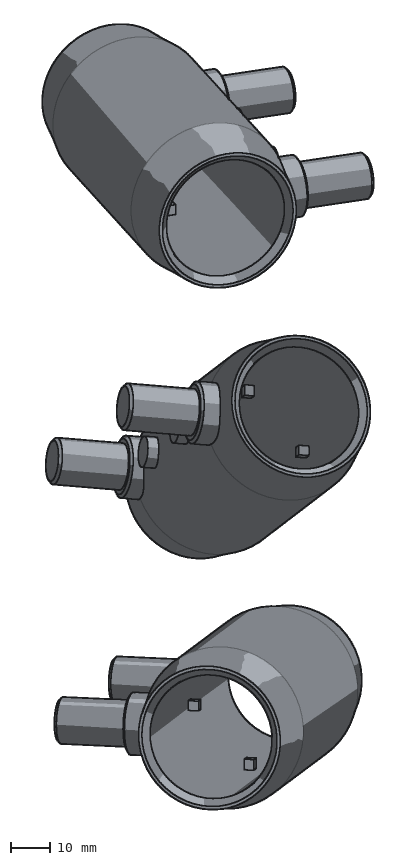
import cadquery as cq

length = 86.5
body_radius = 42.0 / 2
end_radius = 37.2 / 2
bore_radius = 32.0 / 2
taper_length = length / 6
taper_hollow = 0.1
mouth_radius = 35.5 / 2
mouth_depth = mouth_radius - bore_radius

pin_radius = 12.0 / 2
pin_tip_y = 43.0
pin_chamfer = 0.8
collar_radius = 16.0 / 2
collar_top_y = 24.5
collar_chamfer_width = 0.9
collar_chamfer_height = 0.6
pin_x = length / 2 - taper_length

boss_radius = 8.0 / 2
boss_top_y = collar_top_y - collar_chamfer_height
boss_x = 12.8

stop_width = 2.5
stop_inner_radius = 13.2

wall_middle = (bore_radius + end_radius) / 2


def make_sleeve():
    half = length / 2
    taper_mid_x = half - taper_length / 2
    taper_mid_radius = (body_radius + end_radius) / 2 - taper_hollow
    profile = (
        cq.Workplane("XY")
        .moveTo(-half, mouth_radius)
        .lineTo(-half, end_radius)
        .threePointArc((-taper_mid_x, taper_mid_radius), (-half + taper_length, body_radius))
        .lineTo(half - taper_length, body_radius)
        .threePointArc((taper_mid_x, taper_mid_radius), (half, end_radius))
        .lineTo(half, mouth_radius)
        .lineTo(half - mouth_depth, bore_radius)
        .lineTo(-half + mouth_depth, bore_radius)
        .close()
    )
    return profile.revolve(360, (0, 0, 0), (1, 0, 0))


def make_post(x, radius, top_y):
    """Cylinder along +Y from inside the sleeve wall up to top_y."""
    post = cq.Solid.makeCylinder(
        radius, top_y - wall_middle, cq.Vector(x, wall_middle, 0), cq.Vector(0, 1, 0)
    )
    return cq.Workplane(obj=post)


def make_terminal(x):
    pin = make_post(x, pin_radius, pin_tip_y).faces(">Y").chamfer(pin_chamfer)
    collar = make_post(x, collar_radius, collar_top_y)
    collar = collar.faces(">Y").chamfer(collar_chamfer_height, collar_chamfer_width)
    return collar.union(pin)


def make_stop(angle):
    stop = cq.Workplane("XY").box(
        stop_width, wall_middle - stop_inner_radius, stop_width, centered=(True, False, True)
    )
    return stop.translate((0, stop_inner_radius, 0)).rotate((0, 0, 0), (1, 0, 0), angle)


bore = cq.Workplane("YZ").circle(bore_radius).extrude(length / 2, both=True)

result = make_sleeve()
for side in (-1, 1):
    result = result.union(make_terminal(side * pin_x).cut(bore))
    result = result.union(make_post(side * boss_x, boss_radius, boss_top_y).cut(bore))
for angle in (0, 90, 180, 270):
    result = result.union(make_stop(angle))